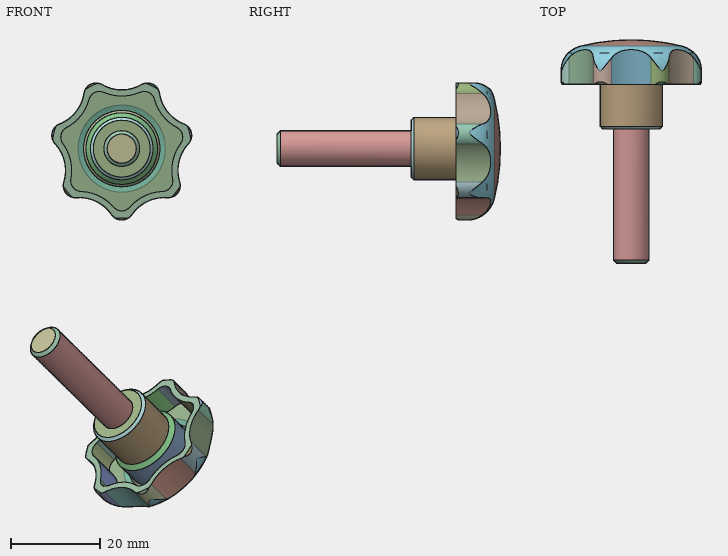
import cadquery as cq
import math

total_length = 50.0
crown_y = total_length / 2
tip_y = -total_length / 2
cap_height = 10.0
rim_y = crown_y - cap_height
hub_length = 10.0
hub_end_y = rim_y - hub_length

stud_radius = 4.0
stud_chamfer = 0.75
hub_radius = 7.0
hub_chamfer = 0.65
boss_radius = 8.0
boss_step = boss_radius - hub_radius

lobe_count = 7
lobe_center_distance = 13.25
lobe_radius = 2.75
scallop_center_distance = 21.9
wall_thickness = 1.4
inner_lobe_center_distance = 11.55

lobe_clearance = 0.025
cap_radius = lobe_center_distance + lobe_radius + lobe_clearance
shoulder_radius = 6.3
shoulder_center_y = rim_y + 2.5
rim_chamfer_width = 0.45
rim_chamfer_height = 0.6

cavity_depth = 7.0
floor_y = rim_y + cavity_depth
recess_outer_radius = 9.75
recess_inner_radius = 8.55
recess_depth = 0.35
root_flare = recess_inner_radius - boss_radius

half_pitch = math.pi / lobe_count
scallop_radius = math.sqrt(
    scallop_center_distance**2 + lobe_center_distance**2
    - 2 * scallop_center_distance * lobe_center_distance * math.cos(half_pitch)
) - lobe_radius


def polar(distance, angle):
    return (distance * math.cos(angle), distance * math.sin(angle))


def grip_prism(lobe_distance, scallop_arc_radius, start_y, end_y):
    """Prism along +Y with tangent lobe and scallop arcs; one lobe points to -Z."""
    center_gap = math.sqrt(
        scallop_center_distance**2 + lobe_distance**2
        - 2 * scallop_center_distance * lobe_distance * math.cos(half_pitch)
    )
    lobe_arc_radius = center_gap - scallop_arc_radius
    blend = lobe_arc_radius / center_gap

    def tangent_point(lobe_angle, scallop_angle):
        lobe_x, lobe_z = polar(lobe_distance, lobe_angle)
        scallop_x, scallop_z = polar(scallop_center_distance, scallop_angle)
        return (lobe_x + blend * (scallop_x - lobe_x), lobe_z + blend * (scallop_z - lobe_z))

    first_lobe = -math.pi / 2
    outline = cq.Workplane("XZ", origin=(0, start_y, 0))
    outline = outline.moveTo(*tangent_point(first_lobe, first_lobe - half_pitch))
    for index in range(lobe_count):
        lobe_angle = first_lobe + 2 * half_pitch * index
        scallop_angle = lobe_angle + half_pitch
        next_lobe = scallop_angle + half_pitch
        lobe_tip = polar(lobe_distance + lobe_arc_radius, lobe_angle)
        valley = polar(scallop_center_distance - scallop_arc_radius, scallop_angle)
        outline = outline.threePointArc(lobe_tip, tangent_point(lobe_angle, scallop_angle))
        outline = outline.threePointArc(valley, tangent_point(next_lobe, scallop_angle))
    return outline.close().extrude(start_y - end_y)


def revolve_about_y(profile):
    return profile.close().revolve(360, (0, 0, 0), (0, 1, 0))


def cap_envelope():
    """Domed solid of revolution with a rounded shoulder tangent to the dome."""
    shoulder_center_x = cap_radius - shoulder_radius
    drop = crown_y - shoulder_center_y
    dome_radius = (shoulder_center_x**2 + drop**2 - shoulder_radius**2) / (2 * (drop - shoulder_radius))
    dome_angle = math.asin(shoulder_center_x / (dome_radius - shoulder_radius))

    def dome_point(angle):
        return (dome_radius * math.sin(angle), crown_y - dome_radius * (1 - math.cos(angle)))

    shoulder_angle = (math.pi / 2 + dome_angle) / 2
    shoulder_mid = (
        shoulder_center_x + shoulder_radius * math.sin(shoulder_angle),
        shoulder_center_y + shoulder_radius * math.cos(shoulder_angle),
    )
    profile = (
        cq.Workplane("XY")
        .moveTo(0, rim_y)
        .lineTo(cap_radius - rim_chamfer_width, rim_y)
        .lineTo(cap_radius, rim_y + rim_chamfer_height)
        .lineTo(cap_radius, shoulder_center_y)
        .threePointArc(shoulder_mid, dome_point(dome_angle))
        .threePointArc(dome_point(dome_angle / 2), (0, crown_y))
    )
    return revolve_about_y(profile)


def cavity():
    """Lobed pocket with a conical recess in its floor."""
    pocket = grip_prism(
        inner_lobe_center_distance, scallop_radius + wall_thickness, rim_y, floor_y
    )
    recess = revolve_about_y(
        cq.Workplane("XY")
        .moveTo(0, floor_y)
        .lineTo(recess_outer_radius, floor_y)
        .lineTo(recess_inner_radius, floor_y + recess_depth)
        .lineTo(0, floor_y + recess_depth)
    )
    return pocket.union(recess)


def hub_and_stud():
    """Turned core: chamfered stud, hub, and wider boss flaring at its root."""
    root_y = floor_y + recess_depth
    return revolve_about_y(
        cq.Workplane("XY")
        .moveTo(0, tip_y)
        .lineTo(stud_radius - stud_chamfer, tip_y)
        .lineTo(stud_radius, tip_y + stud_chamfer)
        .lineTo(stud_radius, hub_end_y)
        .lineTo(hub_radius - hub_chamfer, hub_end_y)
        .lineTo(hub_radius, hub_end_y + hub_chamfer)
        .lineTo(hub_radius, rim_y)
        .lineTo(boss_radius, rim_y + boss_step)
        .lineTo(boss_radius, root_y - root_flare)
        .lineTo(recess_inner_radius, root_y)
        .lineTo(0, root_y)
    )


overshoot = 0.5
grip = grip_prism(lobe_center_distance, scallop_radius, rim_y - overshoot, crown_y + overshoot)
cap = cap_envelope().intersect(grip)
result = cap.cut(cavity()).union(hub_and_stud())